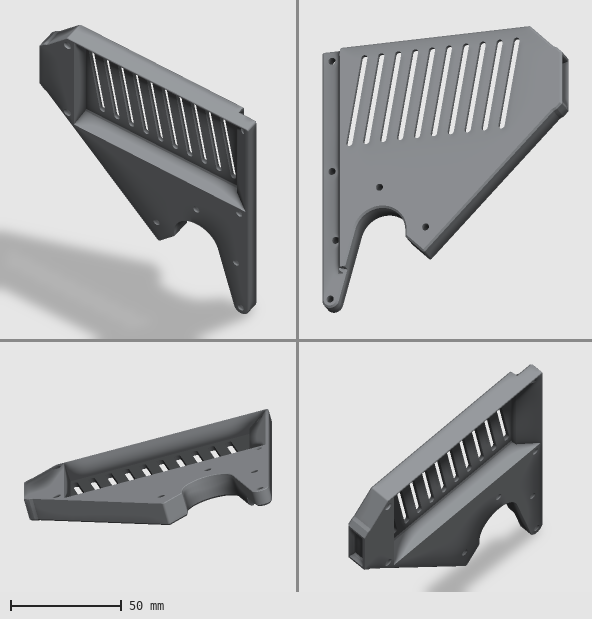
import cadquery as cq
import math


width = 114.8
height = 124.2
thickness = 11.0
corner_radius = 1.0
back_chamfer = 0.9
front_chamfer = 0.2

nose_mid_z = 97.4
nose_half_height = 12.5
nose_step_x = 2.4
shoulder_x = 4.1
shoulder_half_height = 15.8

motor_x = 86.3
motor_z = 32.2
motor_radius = 12.0
motor_hole_offset = 21.9
cheek_foot_z = 29.0

arm_radius = 4.0
arm_x = width - arm_radius
arm_z = arm_radius

center_distance = math.hypot(arm_x - motor_x, motor_z - arm_z)
center_tilt = math.atan2(arm_x - motor_x, motor_z - arm_z)
arm_tilt = center_tilt - math.asin((motor_radius + arm_radius) / center_distance)
side_foot_x = arm_x - arm_radius * math.cos(arm_tilt)
side_foot_z = arm_z - arm_radius * math.sin(arm_tilt)
side_top_x = motor_x + motor_radius * math.cos(arm_tilt)
side_top_z = motor_z + motor_radius * math.sin(arm_tilt)

border_thickness = 7.5
border_slope_run = 2.0
border_start_x = 105.0
arm_step_z = 17.8

pocket_depth = 9.0
pocket_left = 19.0
pocket_right = 113.4
pocket_bottom = 69.2
pocket_top = 123.3
pocket_wall_draft = 0.5
ramp_depth = 6.6
ramp_end_x = 104.1
floor_right = 103.5
sill_rise = 2.1
floor_bevel_rise = 0.7
floor_bevel_depth = 0.6

slot_count = 10
slot_pitch = 8.01
slot_width = 3.0
slot_first_top_x = 21.4
slot_top_z = 117.5
slot_bottom_z = 77.3
slot_tilt = math.radians(10)

hole_diameter = 3.4
edge_hole_x = 109.9
edge_hole_heights = (65.8, 119.4)
insert_x = 15.4
insert_heights = (75.0, 119.5)
insert_mouth_diameter = 4.0
insert_floor_diameter = 2.7
insert_depth = 6.2

recess_half_length = 11.3
recess_front = 1.1
recess_back = 9.7
recess_bevel = 1.1
recess_bevel_depth = 1.7
recess_depth = 2.9

overcut = 1.2


def plane_at(y):
    """XZ sketch plane at depth y; negative extrusions go toward +Y."""
    return cq.Workplane("XZ", origin=(0, y, 0))


def along_x(points, start, end):
    """Prism with a (y, z) section running along X."""
    return cq.Workplane("YZ", origin=(start, 0, 0)).polyline(points).close().extrude(end - start)


def along_z(points, start, end):
    """Prism with an (x, y) section running along Z."""
    return cq.Workplane("XY", origin=(0, 0, start)).polyline(points).close().extrude(end - start)


def outline_body():
    nose_top = nose_mid_z + nose_half_height
    nose_bottom = nose_mid_z - nose_half_height
    shoulder_top = nose_mid_z + shoulder_half_height
    shoulder_bottom = nose_mid_z - shoulder_half_height
    top_corner_x = shoulder_x + height - shoulder_top

    cheek_x = motor_x - motor_radius
    lower_edge_sum = shoulder_x + shoulder_bottom
    tip_x = (lower_edge_sum + cheek_x - cheek_foot_z) / 2
    tip_z = lower_edge_sum - tip_x

    body = (
        plane_at(0)
        .moveTo(0, nose_bottom)
        .lineTo(0, nose_top)
        .lineTo(nose_step_x, nose_top + nose_step_x)
        .lineTo(shoulder_x, shoulder_top)
        .lineTo(top_corner_x, height)
        .lineTo(width, height)
        .lineTo(width, arm_z)
        .threePointArc((arm_x, 0), (side_foot_x, side_foot_z))
        .lineTo(side_top_x, side_top_z)
        .threePointArc((motor_x, motor_z + motor_radius), (cheek_x, motor_z))
        .lineTo(cheek_x, cheek_foot_z)
        .lineTo(tip_x, tip_z)
        .lineTo(shoulder_x, shoulder_bottom)
        .lineTo(nose_step_x, nose_bottom - nose_step_x)
        .close()
        .extrude(-thickness)
    )
    for x, z in ((top_corner_x, height), (width, height), (tip_x, tip_z), (cheek_x, cheek_foot_z)):
        corner = cq.selectors.NearestToPointSelector((x, thickness / 2, z))
        body = body.edges("|Y").edges(corner).fillet(corner_radius)
    return body


def border_cut():
    """Material removed behind the thin right border and the end of the arm."""
    above = thickness + overcut
    right_strip = along_z(
        [
            (border_start_x, above),
            (border_start_x, thickness),
            (border_start_x + border_slope_run, border_thickness),
            (width + overcut, border_thickness),
            (width + overcut, above),
        ],
        -overcut,
        height + overcut,
    )
    arm_end = along_x(
        [
            (above, arm_step_z),
            (thickness, arm_step_z),
            (border_thickness, arm_step_z - border_slope_run),
            (border_thickness, -overcut),
            (above, -overcut),
        ],
        0,
        width + overcut,
    )
    return right_strip.union(arm_end)


def border_slope_ends():
    """Wedges that carry the 45 degree bevel of the thin border on across the outer ends of its slopes."""
    bevel_start = border_thickness - back_chamfer
    bevel_run = thickness - bevel_start
    top_end = along_x(
        [(bevel_start, height), (thickness, height), (thickness, height - bevel_run)],
        border_start_x,
        border_start_x + border_slope_run,
    )

    side_lean = border_slope_run * math.tan(arm_tilt)
    upper_x = side_foot_x - (arm_step_z - side_foot_z) * math.tan(arm_tilt)
    lower_x = upper_x + side_lean
    inset = bevel_run / math.cos(arm_tilt)
    arm_end = (
        cq.Workplane("XY", origin=(0, 0, arm_step_z - border_slope_run))
        .polyline([(lower_x, bevel_start), (lower_x, thickness), (lower_x + inset, thickness)])
        .close()
        .workplane(offset=border_slope_run)
        .polyline([(upper_x, bevel_start), (upper_x, thickness), (upper_x + inset, thickness)])
        .close()
        .loft(ruled=True)
    )
    return top_end.union(arm_end)


def rim_edges(body):
    """Edges between the back surfaces and the outer side walls."""
    side_faces = []
    back_faces = []
    for face in body.faces().vals():
        faces_back = face.geomType() == "PLANE" and face.normalAt().y > 0.1
        faces_front = face.geomType() == "PLANE" and face.normalAt().y < -0.9
        if faces_back:
            back_faces.append(face)
        elif not faces_front:
            side_faces.append(face)
    side_edges = {edge.hashCode() for face in side_faces for edge in face.Edges()}
    back_edges = {edge.hashCode(): edge for face in back_faces for edge in face.Edges()}
    return [edge for code, edge in back_edges.items() if code in side_edges]


def pocket():
    plan = along_z(
        [
            (pocket_left, 0),
            (pocket_right, 0),
            (ramp_end_x, ramp_depth),
            (floor_right, pocket_depth),
            (pocket_left + pocket_wall_draft, pocket_depth),
        ],
        pocket_bottom,
        pocket_top,
    )
    section = along_x(
        [
            (0, pocket_bottom),
            (pocket_depth - floor_bevel_depth, pocket_bottom + sill_rise),
            (pocket_depth, pocket_bottom + sill_rise + floor_bevel_rise),
            (pocket_depth, pocket_top - pocket_wall_draft),
            (0, pocket_top),
        ],
        pocket_left,
        pocket_right,
    )
    return plan.intersect(section)


def vent_slots():
    drop = slot_top_z - slot_bottom_z
    mid_x = slot_first_top_x + drop * math.tan(slot_tilt) / 2
    mid_z = (slot_top_z + slot_bottom_z) / 2
    centers = [(mid_x + i * slot_pitch, mid_z) for i in range(slot_count)]
    length = drop / math.cos(slot_tilt) + slot_width
    angle = 90 + math.degrees(slot_tilt)
    return plane_at(0).pushPoints(centers).slot2D(length, slot_width, angle).extrude(-thickness)


def through_holes():
    centers = [(edge_hole_x, z) for z in edge_hole_heights]
    centers += [
        (arm_x, arm_z),
        (motor_x, motor_z + motor_hole_offset),
        (motor_x - motor_hole_offset, motor_z),
        (motor_x + motor_hole_offset, motor_z),
    ]
    return plane_at(0).pushPoints(centers).circle(hole_diameter / 2).extrude(-thickness)


def insert_hole(z):
    """Blind hole that narrows toward its floor."""
    return cq.Workplane(
        cq.Solid.makeCone(
            insert_mouth_diameter / 2,
            insert_floor_diameter / 2,
            insert_depth,
            pnt=cq.Vector(insert_x, 0, z),
            dir=cq.Vector(0, 1, 0),
        )
    )


def nose_recess():
    """Rectangular recess with a bevelled mouth."""
    mouth_depth = recess_back - recess_front
    mouth_length = 2 * recess_half_length
    inner_depth = mouth_depth - 2 * recess_bevel
    inner_length = mouth_length - 2 * recess_bevel
    center = (0, (recess_front + recess_back) / 2, nose_mid_z)
    mouth = (
        cq.Workplane("YZ", origin=center)
        .rect(mouth_depth, mouth_length)
        .workplane(offset=recess_bevel_depth)
        .rect(inner_depth, inner_length)
        .loft(ruled=True)
    )
    well = cq.Workplane("YZ", origin=center).rect(inner_depth, inner_length).extrude(recess_depth)
    return mouth.union(well)


result = outline_body().faces("<Y").chamfer(front_chamfer).cut(border_cut())
result = result.newObject(rim_edges(result)).chamfer(back_chamfer).cut(border_slope_ends())
result = result.cut(pocket()).cut(vent_slots()).cut(through_holes()).cut(nose_recess())
for insert_z in insert_heights:
    result = result.cut(insert_hole(insert_z))